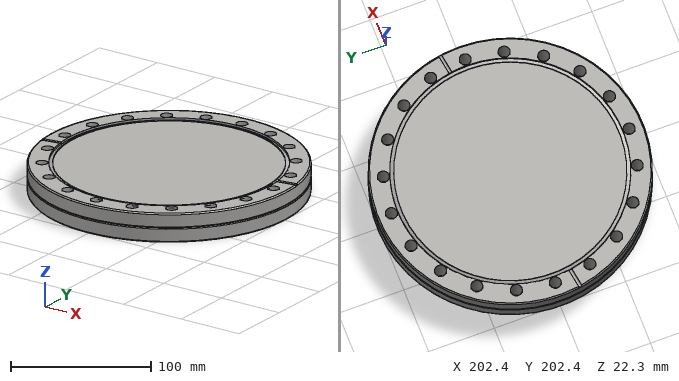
import cadquery as cq
import math

outer_radius = 101.2
thickness = 22.3
edge_chamfer = 1.0

rim_groove_height = thickness / 2
rim_groove_half_width = 0.8
rim_groove_depth = 0.5

recess_radius = 85.8
recess_depth = 1.6
knife_radius = 83.0
knife_angle = 20.0
floor_depth = 1.5

bolt_count = 20
bolt_circle_radius = 90.5
bolt_hole_diameter = 8.5

leak_groove_radius = 1.2
leak_groove_depth = 0.8
leak_groove_angle = 180 / bolt_count


def flange_body():
    """Revolve the half section of the disc, rim groove and knife edge about Z."""
    chamfer_radius = outer_radius - edge_chamfer
    knife_rise = (recess_radius - knife_radius) * math.tan(math.radians(knife_angle))
    recess_height = thickness - recess_depth
    half_section = [
        (0, 0),
        (chamfer_radius, 0),
        (outer_radius, edge_chamfer),
        (outer_radius, rim_groove_height - rim_groove_half_width),
        (outer_radius - rim_groove_depth, rim_groove_height),
        (outer_radius, rim_groove_height + rim_groove_half_width),
        (outer_radius, thickness - edge_chamfer),
        (chamfer_radius, thickness),
        (recess_radius, thickness),
        (recess_radius, recess_height),
        (knife_radius, recess_height + knife_rise),
        (knife_radius, thickness - floor_depth),
        (0, thickness - floor_depth),
    ]
    section = cq.Workplane("XZ").polyline(half_section).close()
    return section.revolve(360, (0, 0, 0), (0, 1, 0))


def bolt_holes():
    """Through holes spaced evenly around the bolt circle."""
    centres = cq.Workplane("XY").polarArray(bolt_circle_radius, 0, 360, bolt_count)
    return centres.circle(bolt_hole_diameter / 2).extrude(thickness)


def leak_groove(angle):
    """Round-bottomed radial groove from the sealing recess out to the rim."""
    start_radius = (knife_radius + recess_radius) / 2
    axis_height = thickness - leak_groove_depth + leak_groove_radius
    cutter = (
        cq.Workplane("YZ", origin=(start_radius, 0, axis_height))
        .circle(leak_groove_radius)
        .extrude(outer_radius - start_radius)
    )
    return cutter.rotate((0, 0, 0), (0, 0, 1), angle)


result = flange_body().cut(bolt_holes())
for half_turn in (0, 180):
    result = result.cut(leak_groove(leak_groove_angle + half_turn))